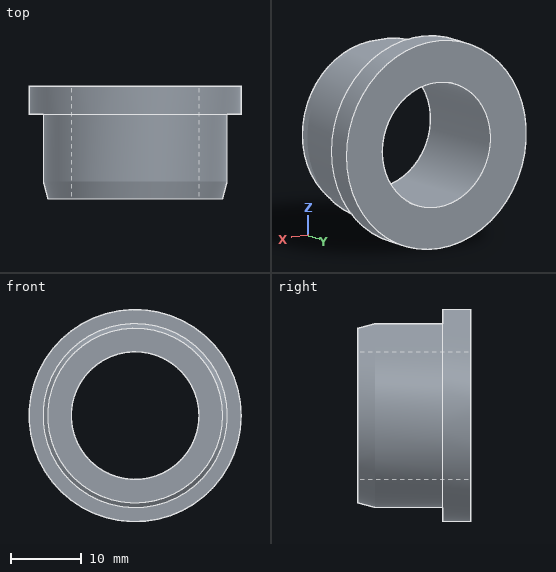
import cadquery as cq
import math

flange_diameter = 30.0
body_diameter = 26.0
bore_diameter = 18.0
total_length = 16.0
flange_thickness = 4.0
lead_in_length = 2.45
lead_in_angle = 15.0

flange_radius = flange_diameter / 2
body_radius = body_diameter / 2
bore_radius = bore_diameter / 2
tip_radius = body_radius - lead_in_length * math.tan(math.radians(lead_in_angle))
flange_face = total_length - flange_thickness

half_section = [
    (bore_radius, 0),
    (tip_radius, 0),
    (body_radius, lead_in_length),
    (body_radius, flange_face),
    (flange_radius, flange_face),
    (flange_radius, total_length),
    (bore_radius, total_length),
]

result = (
    cq.Workplane("XY")
    .polyline(half_section)
    .close()
    .revolve(360, (0, 0, 0), (0, 1, 0))
)